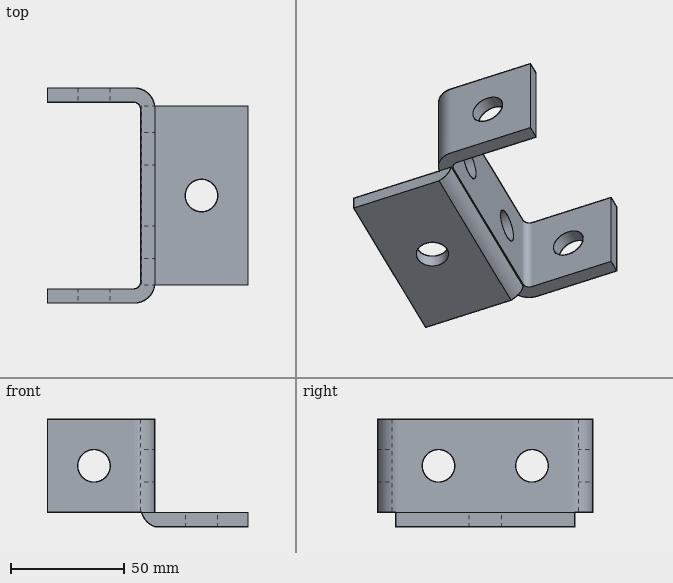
import cadquery as cq

thickness = 6.4
channel_width = 95.25
channel_depth = 47.6
total_length = 88.9
total_height = 47.6
plate_width = 79.3
inner_bend_radius = 3.1
outer_bend_radius = 9.2
plate_overlap = 5.9
plate_edge_radius = outer_bend_radius
hole_diameter = 14.3
hole_edge_distance = 20.7
back_hole_spacing = 2 * hole_edge_distance

channel_height = total_height - thickness
hole_height = thickness + channel_height / 2
web_inner_x = channel_depth - thickness


def make_channel():
    """U-shaped channel, open towards -X, with rounded bends."""
    outer = (
        cq.Workplane("XY", origin=(0, 0, thickness))
        .rect(2 * channel_depth, channel_width)
        .extrude(channel_height)
        .edges("|Z and >X")
        .fillet(outer_bend_radius)
    )
    inner = (
        cq.Workplane("XY", origin=(0, 0, thickness))
        .rect(2 * web_inner_x, channel_width - 2 * thickness)
        .extrude(channel_height)
        .edges("|Z and >X")
        .fillet(inner_bend_radius)
    )
    positive_x = cq.Workplane("XY").box(
        total_length, channel_width, total_height, centered=(False, True, False)
    )
    return outer.cut(inner).intersect(positive_x)


def make_plate():
    """Mounting plate under the web, with its rear lower edge rounded by a shallow arc."""
    profile = (
        cq.Workplane("XZ", origin=(0, plate_width / 2, 0))
        .moveTo(channel_depth - plate_overlap, thickness)
        .radiusArc((channel_depth, 0), -plate_edge_radius)
        .lineTo(total_length, 0)
        .lineTo(total_length, thickness)
        .close()
    )
    return profile.extrude(plate_width)


def hole(plane, center, length):
    """Cylinder centred on a point, along the normal of the plane."""
    start = cq.Workplane(plane, origin=center).workplane(offset=-length / 2)
    return start.circle(hole_diameter / 2).extrude(length)


result = make_channel().union(make_plate())
result = result.cut(hole("XZ", (hole_edge_distance, 0, hole_height), 2 * channel_width))
for side in (-1, 1):
    web_center = (channel_depth - thickness / 2, side * back_hole_spacing / 2, hole_height)
    result = result.cut(hole("YZ", web_center, 2 * thickness))
plate_center = (total_length - hole_edge_distance, 0, thickness / 2)
result = result.cut(hole("XY", plate_center, 2 * thickness))